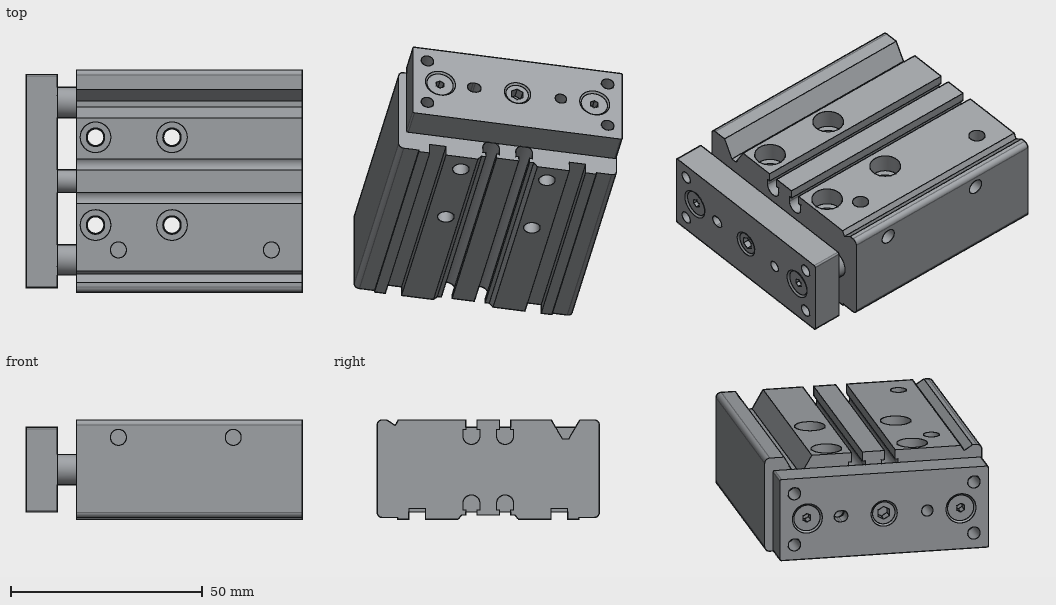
import cadquery as cq
import math


TOTAL_LENGTH = 72.0
PLATE_THICKNESS = 8.1
ROD_GAP = 5.0
HOUSING_WIDTH = 58.0
HOUSING_HEIGHT = 26.0
HOUSING_FRONT = PLATE_THICKNESS + ROD_GAP
HOUSING_LENGTH = TOTAL_LENGTH - HOUSING_FRONT
HALF_WIDTH = HOUSING_WIDTH / 2
HALF_HEIGHT = HOUSING_HEIGHT / 2

EDGE_RADIUS = 1.4
SIDE_STEP_HEIGHT = 0.5
SIDE_STEP_Y = 23.6
CENTRE_STEP_HEIGHT = 1.15
CENTRE_STEP_OUTER_Y = 7.9
CENTRE_STEP_INNER_Y = 6.9

SENSOR_GROOVE_Y = 4.4
SENSOR_MOUTH_WIDTH = 2.9
SENSOR_MOUTH_DEPTH = 2.5
SENSOR_BORE_DIAMETER = 4.5
SENSOR_BORE_DEPTH = 4.2
WIDE_GROOVE_Y = 20.15
WIDE_GROOVE_WIDTH = 7.4
WIDE_GROOVE_FLOOR = 1.6
WIDE_GROOVE_ANGLE = 60.0
NOTCH_INNER_Y = -23.5
NOTCH_BOTTOM_Y = -24.3
NOTCH_OUTER_Y = -26.5
NOTCH_DEPTH = 1.45
BOTTOM_SLOT_Y = 18.6
BOTTOM_SLOT_WIDTH = 4.3
BOTTOM_SLOT_DEPTH = 2.9

MOUNT_X = 18.1
MOUNT_PITCH = 19.95
MOUNT_Y = 11.45
MOUNT_DIAMETER = 4.3
MOUNT_STEP_DIAMETER = 4.8
MOUNT_STEP_DEPTH = 0.7
MOUNT_HEAD_DIAMETER = 8.0
MOUNT_HEAD_DEPTH = 5.2
PORT_DIAMETER = 4.2
PORT_DEPTH = 5.75
PORT_X = 24.05
TOP_PORT_PITCH = 39.9
TOP_PORT_Y = -17.9
SIDE_PORT_PITCH = 29.95
SIDE_PORT_Z = 8.4

PLATE_WIDTH = 55.7
PLATE_HEIGHT = 22.2
PLATE_EDGE_RADIUS = 0.4
GUIDE_ROD_Y = 20.5
GUIDE_ROD_DIAMETER = 8.0
CENTRE_ROD_DIAMETER = 6.0
RECESS_DEPTH = 0.5
GUIDE_RECESS_DIAMETER = 8.0
GUIDE_RECESS_FLOOR = 7.0
CENTRE_RECESS_DIAMETER = 7.0
CENTRE_RECESS_FLOOR = 6.0
GUIDE_HEX_ACROSS_FLATS = 2.0
CENTRE_HEX_ACROSS_FLATS = 3.0
HEX_DEPTH = 2.9
HEX_TURN = 30.0
CORNER_HOLE_DIAMETER = 3.3
CORNER_HOLE_Y = 24.0
CORNER_HOLE_Z = 7.0
PIN_Y = 11.5
PIN_DIAMETER = 3.0
PIN_SLOT_LENGTH = 3.6
PIN_SLOT_DEPTH = 4.3


def section_plane(x):
    """Plane across the X axis: local x is +Y, local y is +Z, extrusion runs toward +X."""
    return cq.Workplane("YZ", origin=(x, 0, 0))


def housing_blank():
    """Extruded housing section with its stepped underside, before any grooves."""
    bottom = -HALF_HEIGHT
    side_bottom = bottom + SIDE_STEP_HEIGHT
    centre_bottom = bottom + CENTRE_STEP_HEIGHT
    outline = [
        (-HALF_WIDTH, HALF_HEIGHT),
        (-HALF_WIDTH, side_bottom),
        (-SIDE_STEP_Y, side_bottom),
        (-SIDE_STEP_Y, bottom),
        (-CENTRE_STEP_OUTER_Y, bottom),
        (-CENTRE_STEP_INNER_Y, centre_bottom),
        (CENTRE_STEP_INNER_Y, centre_bottom),
        (CENTRE_STEP_OUTER_Y, bottom),
        (SIDE_STEP_Y, bottom),
        (SIDE_STEP_Y, side_bottom),
        (HALF_WIDTH, side_bottom),
        (HALF_WIDTH, HALF_HEIGHT),
    ]
    blank = section_plane(HOUSING_FRONT).polyline(outline).close().extrude(HOUSING_LENGTH)
    side_edges = blank.faces("<Y or >Y").edges("|X")
    return side_edges.fillet(EDGE_RADIUS)


def sensor_groove(y, side):
    """Groove with a narrow mouth and a wider round floor; side is +1 for top, -1 for underside."""
    bore_radius = SENSOR_BORE_DIAMETER / 2
    shoulder_z = side * (HALF_HEIGHT - SENSOR_MOUTH_DEPTH)
    axis_z = side * (HALF_HEIGHT - SENSOR_BORE_DEPTH)
    floor_z = axis_z - side * bore_radius
    mouth = (
        section_plane(HOUSING_FRONT)
        .center(y, side * HALF_HEIGHT)
        .rect(SENSOR_MOUTH_WIDTH, 2 * SENSOR_MOUTH_DEPTH)
        .extrude(HOUSING_LENGTH)
    )
    chamber = (
        section_plane(HOUSING_FRONT)
        .moveTo(y - bore_radius, shoulder_z)
        .lineTo(y - bore_radius, axis_z)
        .threePointArc((y, floor_z), (y + bore_radius, axis_z))
        .lineTo(y + bore_radius, shoulder_z)
        .close()
        .extrude(HOUSING_LENGTH)
    )
    return mouth.union(chamber)


def wide_groove():
    """Flat-bottomed V groove along the top of the housing."""
    half_mouth = WIDE_GROOVE_WIDTH / 2
    half_floor = WIDE_GROOVE_FLOOR / 2
    depth = (half_mouth - half_floor) * math.tan(math.radians(WIDE_GROOVE_ANGLE))
    outline = [
        (WIDE_GROOVE_Y - half_mouth, HALF_HEIGHT),
        (WIDE_GROOVE_Y - half_floor, HALF_HEIGHT - depth),
        (WIDE_GROOVE_Y + half_floor, HALF_HEIGHT - depth),
        (WIDE_GROOVE_Y + half_mouth, HALF_HEIGHT),
    ]
    return section_plane(HOUSING_FRONT).polyline(outline).close().extrude(HOUSING_LENGTH)


def edge_notch():
    """Small uneven V notch along the top, near the -Y side."""
    outline = [
        (NOTCH_INNER_Y, HALF_HEIGHT),
        (NOTCH_BOTTOM_Y, HALF_HEIGHT - NOTCH_DEPTH),
        (NOTCH_OUTER_Y, HALF_HEIGHT),
    ]
    return section_plane(HOUSING_FRONT).polyline(outline).close().extrude(HOUSING_LENGTH)


def bottom_slot(y):
    """Square slot along the underside."""
    return (
        section_plane(HOUSING_FRONT)
        .center(y, -HALF_HEIGHT)
        .rect(BOTTOM_SLOT_WIDTH, 2 * BOTTOM_SLOT_DEPTH)
        .extrude(HOUSING_LENGTH)
    )


def drill_mount_holes(body):
    """Four counterbored through holes from the top, stepped just below the screw head seat."""
    points = [(MOUNT_X + i * MOUNT_PITCH, side * MOUNT_Y) for i in (0, 1) for side in (-1, 1)]
    top_face = cq.Workplane("XY", origin=(0, 0, HALF_HEIGHT))
    return (
        body.copyWorkplane(top_face)
        .pushPoints(points)
        .cboreHole(MOUNT_DIAMETER, MOUNT_HEAD_DIAMETER, MOUNT_HEAD_DEPTH)
        .copyWorkplane(top_face)
        .pushPoints(points)
        .hole(MOUNT_STEP_DIAMETER, MOUNT_HEAD_DEPTH + MOUNT_STEP_DEPTH)
    )


def drill_ports(body):
    """Blind air ports, two in the top and two in the -Y side."""
    top_points = [(PORT_X + i * TOP_PORT_PITCH, TOP_PORT_Y) for i in (0, 1)]
    side_points = [(PORT_X + i * SIDE_PORT_PITCH, SIDE_PORT_Z) for i in (0, 1)]
    top_face = cq.Workplane("XY", origin=(0, 0, HALF_HEIGHT))
    side_face = cq.Workplane("XZ", origin=(0, -HALF_WIDTH, 0))
    return (
        body.copyWorkplane(top_face)
        .pushPoints(top_points)
        .hole(PORT_DIAMETER, PORT_DEPTH)
        .copyWorkplane(side_face)
        .pushPoints(side_points)
        .hole(PORT_DIAMETER, PORT_DEPTH)
    )


def make_housing():
    body = housing_blank()
    for y in (-SENSOR_GROOVE_Y, SENSOR_GROOVE_Y):
        for side in (-1, 1):
            body = body.cut(sensor_groove(y, side))
    for y in (-BOTTOM_SLOT_Y, BOTTOM_SLOT_Y):
        body = body.cut(bottom_slot(y))
    body = body.cut(wide_groove()).cut(edge_notch())
    return drill_ports(drill_mount_holes(body))


def plate_hole(y, z, diameter):
    """Cutter for a round hole through the plate."""
    return section_plane(0).center(y, z).circle(diameter / 2).extrude(PLATE_THICKNESS)


def rod_end(y, recess_diameter, recess_floor, hex_across_flats):
    """Cutter for the conical recess and hexagon socket in the plate face at a rod axis."""
    recess = cq.Solid.makeCone(
        recess_diameter / 2,
        recess_floor / 2,
        RECESS_DEPTH,
        pnt=cq.Vector(0, y, 0),
        dir=cq.Vector(1, 0, 0),
    )
    across_corners = hex_across_flats / math.cos(math.pi / 6)
    socket = (
        section_plane(0)
        .center(y, 0)
        .transformed(rotate=(0, 0, HEX_TURN))
        .polygon(6, across_corners)
        .extrude(RECESS_DEPTH + HEX_DEPTH)
    )
    return socket.union(cq.Workplane(recess))


def pin_slot():
    """Cutter for the slotted mouth of the locating hole on the +Y side."""
    return section_plane(0).center(PIN_Y, 0).slot2D(PIN_SLOT_LENGTH, PIN_DIAMETER).extrude(PIN_SLOT_DEPTH)


def make_carriage():
    """End plate with the centre rod and the two guide rods, which end at the housing face."""
    plate = section_plane(0).rect(PLATE_WIDTH, PLATE_HEIGHT).extrude(PLATE_THICKNESS)
    body = plate.edges("|X").fillet(PLATE_EDGE_RADIUS)
    rods = [
        (-GUIDE_ROD_Y, GUIDE_ROD_DIAMETER),
        (0, CENTRE_ROD_DIAMETER),
        (GUIDE_ROD_Y, GUIDE_ROD_DIAMETER),
    ]
    for y, diameter in rods:
        body = body.union(section_plane(PLATE_THICKNESS).center(y, 0).circle(diameter / 2).extrude(ROD_GAP))
    for side in (-1, 1):
        body = body.cut(
            rod_end(side * GUIDE_ROD_Y, GUIDE_RECESS_DIAMETER, GUIDE_RECESS_FLOOR, GUIDE_HEX_ACROSS_FLATS)
        )
        body = body.cut(plate_hole(side * PIN_Y, 0, PIN_DIAMETER))
        for z in (-CORNER_HOLE_Z, CORNER_HOLE_Z):
            body = body.cut(plate_hole(side * CORNER_HOLE_Y, z, CORNER_HOLE_DIAMETER))
    body = body.cut(rod_end(0, CENTRE_RECESS_DIAMETER, CENTRE_RECESS_FLOOR, CENTRE_HEX_ACROSS_FLATS))
    return body.cut(pin_slot())


housing = make_housing()
carriage = make_carriage()
result = cq.Compound.makeCompound([housing.val(), carriage.val()])